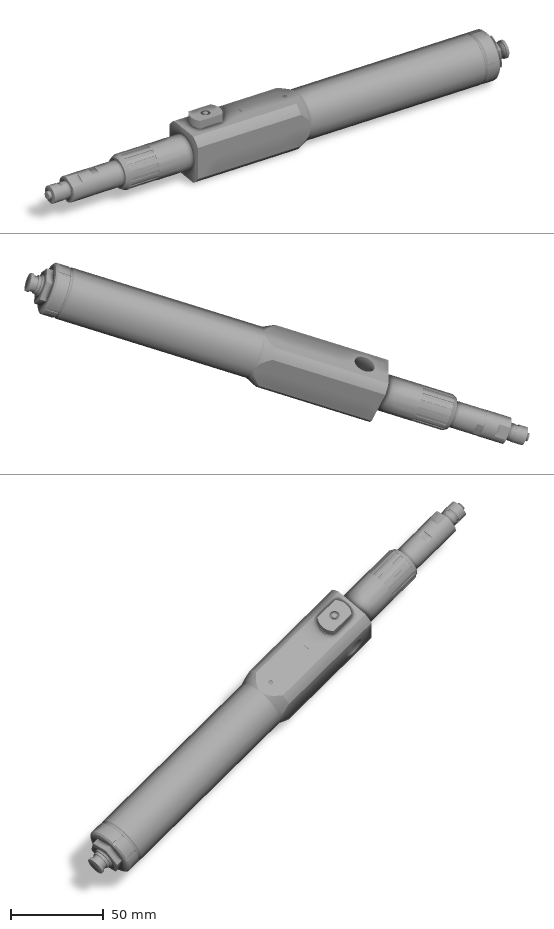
import cadquery as cq
import math


TIP_END = 0.0
COLLAR_FRONT = 1.9
NUT_FRONT = 12.5
SLEEVE_FRONT = 26.9
CONE_FRONT = 44.8
KNURL_FRONT = 47.2
KNURL_BACK = 65.2
BLOCK_FRONT = 87.0
BLOCK_BACK = 111.0
CONE_START = 152.6
TUBE_START = 159.2
CAP_FRONT = 270.1
CAP_BACK = 280.0
HEX_BACK = 283.7
CONNECTOR_END = 291.0

BODY_WIDTH = 29.0
TUBE_RADIUS = BODY_WIDTH / 2
CORNER_RADIUS = 17.5
DOT_DIAMETER = 2.6
DOT_DEPTH = 0.5
DOT_Y = 151.4
MARK_LENGTH = 3.0
MARK_WIDTH = 0.4
MARK_DEPTH = 0.4
MARK_Y = 123.1
WINDOW_DIAMETER = 11.6
BUTTON_Y = 100.9

BUTTON_DIAMETER = 18.5
BUTTON_WIDTH = 12.0
BUTTON_TOP = 20.3
BUTTON_FOOT_HEIGHT = 1.0
BUTTON_FOOT_INSET = 0.5
SOCKET_DIAMETER = 5.4
SOCKET_DEPTH = 1.5
SOCKET_PIN_DIAMETER = 2.6
TAB_WIDTH = 4.4
TAB_BACK = 110.4

SHAFT_RADIUS = 10.2
SHAFT_TAIL_RADIUS = 8.0
CONE_RADIUS = 9.0
SLEEVE_RADIUS = 7.4
NUT_RADIUS = 7.5
COLLAR_RADIUS = 5.1
COLLAR_NECK_RADIUS = 4.9
COLLAR_STEP = 8.7
BAYONET_FRONT = 7.0
BAYONET_FLOOR_RADIUS = 4.5
BAYONET_REACH = 2.0
PIN_RADIUS = 2.3
KNURL_COUNT = 16
KNURL_DEPTH = 0.5
FLAT_DISTANCE = 6.6
SLEEVE_FLAT_LENGTH = 4.0
NUT_FLAT_LENGTH = 6.8
NUT_FLAT_ANGLE = 25.0

CAP_CHAMFER = 1.0
CAP_NECK_LENGTH = 2.0
CAP_NECK_DEPTH = 0.4
CAP_GROOVE_COUNT = 4
CAP_GROOVE_WIDTH = 1.8
CAP_GROOVE_DEPTH = 0.4
CAP_GROOVE_ANGLE = -11.5
KEY_GROOVE_WIDTH = 2.6
KEY_GROOVE_ANGLE = 33.0
HEX_CORNER_RADIUS = 10.4
HEX_TILT = 6.0
CONNECTOR_BASE_RADIUS = 6.0
CONNECTOR_BASE_BACK = 284.9
CONNECTOR_RADIUS = 5.2
CONNECTOR_NECK_RADIUS = 4.5
CONNECTOR_NECK_FRONT = 286.6
CONNECTOR_NECK_BACK = 289.4


def revolve_profile(stations):
    """Turn a (radius, y) outline about the Y axis."""
    outline = [(0, stations[0][1]), *stations, (0, stations[-1][1])]
    return cq.Workplane("XY").polyline(outline).close().revolve(360, (0, 0, 0), (0, 1, 0))


def bar_between(size_x, size_z, y_start, y_end):
    """Box centred on the Y axis between two stations."""
    length = y_end - y_start
    return cq.Workplane("XY").box(size_x, length, size_z).translate((0, y_start + length / 2, 0))


def turn(shape, angle):
    """Rotate a shape about the tool axis; a positive angle swings +Z toward +X."""
    return shape.rotate((0, 0, 0), (0, 1, 0), angle)


def top_hole(diameter, depth, y, z_top):
    """Vertical cylinder reaching down from z_top on the centre line."""
    return cq.Workplane("XY", origin=(0, y, z_top - depth)).circle(diameter / 2).extrude(depth)


def make_housing():
    turned = revolve_profile([
        (CORNER_RADIUS, BLOCK_BACK),
        (CORNER_RADIUS, CONE_START),
        (TUBE_RADIUS, TUBE_START),
        (TUBE_RADIUS, CAP_FRONT),
    ])
    housing = turned.intersect(bar_between(BODY_WIDTH, BODY_WIDTH, BLOCK_BACK, CAP_FRONT))
    housing = housing.cut(top_hole(DOT_DIAMETER, DOT_DEPTH, DOT_Y, TUBE_RADIUS))
    mark = cq.Workplane("XY").box(MARK_LENGTH, MARK_WIDTH, 2 * MARK_DEPTH)
    return housing.cut(mark.translate((0, MARK_Y, TUBE_RADIUS)))


def make_front_block():
    turned = revolve_profile([(CORNER_RADIUS, BLOCK_FRONT), (CORNER_RADIUS, BLOCK_BACK)])
    block = turned.intersect(bar_between(BODY_WIDTH, BODY_WIDTH, BLOCK_FRONT, BLOCK_BACK))
    bore = revolve_profile([(SHAFT_TAIL_RADIUS, BLOCK_FRONT), (SHAFT_TAIL_RADIUS, BLOCK_BACK)])
    block = block.cut(bore)
    window = cq.Workplane("YZ", origin=(-TUBE_RADIUS, BUTTON_Y, 0))
    return block.cut(window.circle(WINDOW_DIAMETER / 2).extrude(TUBE_RADIUS))


def rounded_end_block(inset, z_start, z_end):
    """Button outline: a disc with two straight sides, shrunk all round by inset."""
    height = z_end - z_start
    base = cq.Workplane("XY", origin=(0, BUTTON_Y, z_start))
    disc = base.circle(BUTTON_DIAMETER / 2 - inset).extrude(height)
    return disc.intersect(base.rect(BUTTON_WIDTH - 2 * inset, BUTTON_DIAMETER).extrude(height))


def make_button():
    head_bottom = TUBE_RADIUS + BUTTON_FOOT_HEIGHT
    foot = rounded_end_block(BUTTON_FOOT_INSET, TUBE_RADIUS, head_bottom)
    head = rounded_end_block(0, head_bottom, BUTTON_TOP)
    tab = cq.Workplane("XY").box(
        TAB_WIDTH, TAB_BACK - BUTTON_Y, BUTTON_FOOT_HEIGHT, centered=(True, False, False)
    )
    tab = tab.translate((0, BUTTON_Y, TUBE_RADIUS))
    socket = top_hole(SOCKET_DIAMETER, SOCKET_DEPTH, BUTTON_Y, BUTTON_TOP)
    socket_pin = top_hole(SOCKET_PIN_DIAMETER, SOCKET_DEPTH, BUTTON_Y, BUTTON_TOP)
    return foot.union(head).union(tab).cut(socket.cut(socket_pin))


def opposed_flats(y_start, y_end, angle):
    """Material outside two parallel flats that face away from each other."""
    envelope = bar_between(4 * SLEEVE_RADIUS, 4 * SLEEVE_RADIUS, y_start, y_end)
    kept = bar_between(4 * SLEEVE_RADIUS, 2 * FLAT_DISTANCE, y_start, y_end)
    return turn(envelope.cut(kept), angle)


def make_bayonet_groove():
    """Groove around the upper -X part of the tip collar."""
    ring = revolve_profile([(COLLAR_RADIUS, BAYONET_FRONT), (COLLAR_RADIUS, COLLAR_STEP)])
    ring = ring.cut(
        revolve_profile([(BAYONET_FLOOR_RADIUS, BAYONET_FRONT), (BAYONET_FLOOR_RADIUS, COLLAR_STEP)])
    )
    size = 2 * COLLAR_RADIUS
    sector = bar_between(size, size, BAYONET_FRONT, COLLAR_STEP)
    return ring.intersect(sector.translate((BAYONET_REACH - COLLAR_RADIUS, 0, COLLAR_RADIUS)))


def make_nose():
    nose = revolve_profile([
        (PIN_RADIUS, TIP_END),
        (PIN_RADIUS, COLLAR_FRONT),
        (COLLAR_RADIUS, COLLAR_FRONT),
        (COLLAR_RADIUS, COLLAR_STEP),
        (COLLAR_NECK_RADIUS, COLLAR_STEP),
        (COLLAR_NECK_RADIUS, NUT_FRONT),
        (NUT_RADIUS, NUT_FRONT),
        (NUT_RADIUS, SLEEVE_FRONT),
        (SLEEVE_RADIUS, SLEEVE_FRONT),
        (SLEEVE_RADIUS, CONE_FRONT),
        (CONE_RADIUS, CONE_FRONT),
        (SHAFT_RADIUS, KNURL_FRONT),
        (SHAFT_RADIUS, BLOCK_FRONT),
        (SHAFT_TAIL_RADIUS, BLOCK_FRONT),
        (SHAFT_TAIL_RADIUS, BLOCK_BACK),
    ])
    groove_width = math.pi * SHAFT_RADIUS / KNURL_COUNT
    groove = bar_between(groove_width, 2 * KNURL_DEPTH, KNURL_FRONT, KNURL_BACK)
    groove = groove.translate((0, 0, SHAFT_RADIUS))
    for index in range(KNURL_COUNT):
        nose = nose.cut(turn(groove, index * 360 / KNURL_COUNT))
    nose = nose.cut(opposed_flats(SLEEVE_FRONT, SLEEVE_FRONT + SLEEVE_FLAT_LENGTH, 0))
    nose = nose.cut(opposed_flats(NUT_FRONT, NUT_FRONT + NUT_FLAT_LENGTH, NUT_FLAT_ANGLE))
    return nose.cut(make_bayonet_groove())


def cap_groove(width, angle):
    """Lengthwise groove in the cap rim; the angle rises from -X toward +Z."""
    groove = bar_between(2 * CAP_GROOVE_DEPTH, width, CAP_FRONT + CAP_NECK_LENGTH, CAP_BACK)
    return turn(groove.translate((-TUBE_RADIUS, 0, 0)), angle)


def make_end_cap():
    neck_radius = TUBE_RADIUS - CAP_NECK_DEPTH
    cap = revolve_profile([
        (TUBE_RADIUS, CAP_FRONT),
        (neck_radius, CAP_FRONT + CAP_NECK_DEPTH),
        (neck_radius, CAP_FRONT + CAP_NECK_LENGTH - CAP_NECK_DEPTH),
        (TUBE_RADIUS, CAP_FRONT + CAP_NECK_LENGTH),
        (TUBE_RADIUS, CAP_BACK - CAP_CHAMFER),
        (TUBE_RADIUS - CAP_CHAMFER, CAP_BACK),
    ])
    groove_spacing = 360 / CAP_GROOVE_COUNT
    for index in range(CAP_GROOVE_COUNT):
        cap = cap.cut(cap_groove(CAP_GROOVE_WIDTH, CAP_GROOVE_ANGLE + index * groove_spacing))
    cap = cap.cut(cap_groove(KEY_GROOVE_WIDTH, KEY_GROOVE_ANGLE))
    hexagon = (
        cq.Workplane("XZ", origin=(0, HEX_BACK, 0))
        .polygon(6, 2 * HEX_CORNER_RADIUS)
        .extrude(HEX_BACK - CAP_BACK)
    )
    hexagon = turn(hexagon, 30 - HEX_TILT)
    connector = revolve_profile([
        (CONNECTOR_BASE_RADIUS, HEX_BACK),
        (CONNECTOR_BASE_RADIUS, CONNECTOR_BASE_BACK),
        (CONNECTOR_RADIUS, CONNECTOR_BASE_BACK),
        (CONNECTOR_RADIUS, CONNECTOR_NECK_FRONT),
        (CONNECTOR_NECK_RADIUS, CONNECTOR_NECK_FRONT),
        (CONNECTOR_NECK_RADIUS, CONNECTOR_NECK_BACK),
        (CONNECTOR_RADIUS, CONNECTOR_NECK_BACK),
        (CONNECTOR_RADIUS, CONNECTOR_END),
    ])
    return cap.union(hexagon).union(connector)


housing = make_housing()
front_block = make_front_block()
button = make_button()
nose = make_nose()
end_cap = make_end_cap()

result = cq.Compound.makeCompound([
    housing.val(),
    front_block.val(),
    button.val(),
    nose.val(),
    end_cap.val(),
])